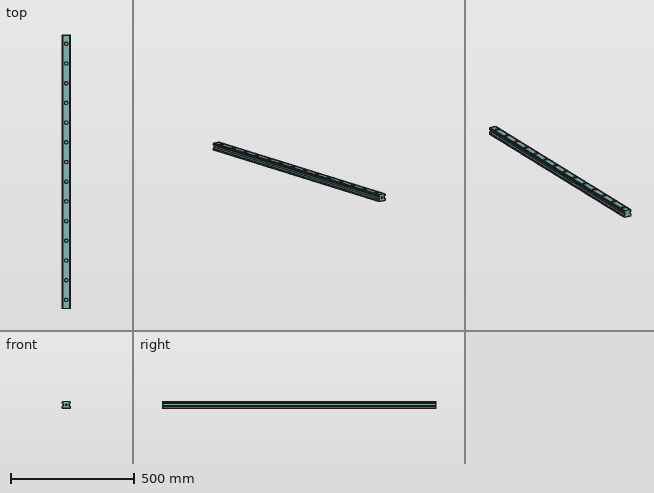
import cadquery as cq
import math

WIDTH = 34.0
HEIGHT = 29.0
LENGTH = 1110.0
HALF_WIDTH = WIDTH / 2

BASE_CHAMFER = 1.5
EDGE_CHAMFER = 0.5
FOOT_EDGE_HEIGHT = 7.0
NECK_HALF_WIDTH = 12.3
NECK_BOTTOM = 12.0
NECK_TOP = 16.0
TOP_HALF_WIDTH = 13.25

LOWER_GROOVE_INNER = (12.75, 19.5)
LOWER_GROOVE_OUTER = (HALF_WIDTH, 23.0)
UPPER_GROOVE_OUTER = (HALF_WIDTH, 25.75)
UPPER_GROOVE_INNER = (TOP_HALF_WIDTH + EDGE_CHAMFER, HEIGHT - EDGE_CHAMFER)
LOWER_GROOVE_DEPTH = 0.5
UPPER_GROOVE_DEPTH = 0.75

RECESS_COUNT = 14
RECESS_PITCH = 80.0
RECESS_DIAMETER = 14.0
RECESS_DEPTH = 0.5

END_HOLE_DIAMETER = 6.0
END_HOLE_DEPTH = 15.0
END_HOLE_HEIGHT = HEIGHT / 2


def groove_bottom(start, end, depth):
    """Point to the left of the chord from start to end, `depth` from its middle."""
    run = end[0] - start[0]
    rise = end[1] - start[1]
    chord = math.hypot(run, rise)
    middle_x = (start[0] + end[0]) / 2
    middle_z = (start[1] + end[1]) / 2
    return (middle_x - depth * rise / chord, middle_z + depth * run / chord)


def rail_body():
    """Half section drawn on the +X side, extruded along Y and mirrored."""
    lower_groove = groove_bottom(LOWER_GROOVE_INNER, LOWER_GROOVE_OUTER, LOWER_GROOVE_DEPTH)
    upper_groove = groove_bottom(UPPER_GROOVE_OUTER, UPPER_GROOVE_INNER, UPPER_GROOVE_DEPTH)
    half_section = (
        cq.Workplane("XZ")
        .lineTo(HALF_WIDTH - BASE_CHAMFER, 0)
        .lineTo(HALF_WIDTH, BASE_CHAMFER)
        .lineTo(HALF_WIDTH, FOOT_EDGE_HEIGHT)
        .lineTo(HALF_WIDTH - EDGE_CHAMFER, FOOT_EDGE_HEIGHT + EDGE_CHAMFER)
        .lineTo(NECK_HALF_WIDTH, NECK_BOTTOM)
        .lineTo(NECK_HALF_WIDTH, NECK_TOP)
        .lineTo(*LOWER_GROOVE_INNER)
        .threePointArc(lower_groove, LOWER_GROOVE_OUTER)
        .lineTo(*UPPER_GROOVE_OUTER)
        .threePointArc(upper_groove, UPPER_GROOVE_INNER)
        .lineTo(TOP_HALF_WIDTH, HEIGHT)
        .lineTo(0, HEIGHT)
        .close()
    )
    half_body = half_section.extrude(LENGTH / 2, both=True)
    return half_body.union(half_body.mirror("YZ")).clean()


def top_recesses():
    """Row of discs to remove from the top face."""
    return (
        cq.Workplane("XY", origin=(0, 0, HEIGHT))
        .rarray(1, RECESS_PITCH, 1, RECESS_COUNT)
        .circle(RECESS_DIAMETER / 2)
        .extrude(-RECESS_DEPTH)
    )


def end_hole():
    """Cylinder to remove from the -Y end face, running toward +Y."""
    return (
        cq.Workplane("XZ", origin=(0, -LENGTH / 2, END_HOLE_HEIGHT))
        .circle(END_HOLE_DIAMETER / 2)
        .extrude(-END_HOLE_DEPTH)
    )


result = rail_body().cut(top_recesses()).cut(end_hole())